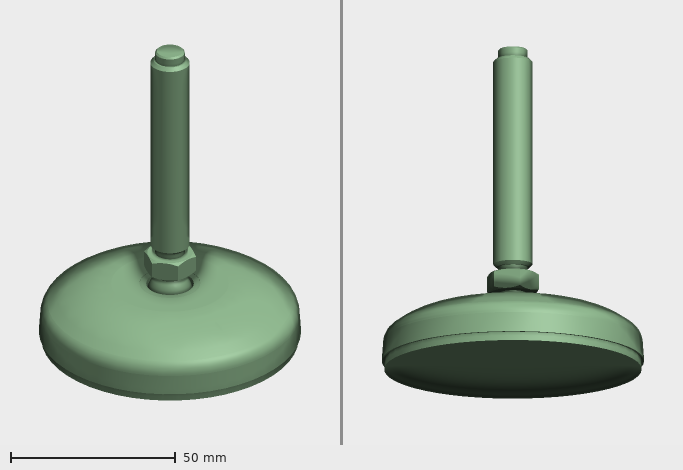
import cadquery as cq
import math

TOTAL_HEIGHT = 99.7

PAD_DIAMETER = 78.2
PAD_HEIGHT = 2.6
RIM_DIAMETER = 79.7
SKIRT_TOP_DIAMETER = 78.8
SKIRT_TOP_Z = 8.7
DOME_EDGE_DIAMETER = 74.4
DOME_EDGE_Z = 12.6
FLAT_DIAMETER = 35.7
FOOT_HEIGHT = 19.0

RECESS_DIAMETER = 18.4
RECESS_DEPTH = 0.1
SOCKET_TOP_DIAMETER = 14.5
SOCKET_BOTTOM_DIAMETER = 13.4
SOCKET_DEPTH = 1.2

BALL_DIAMETER = 13.9
NECK_DIAMETER = 8.1
NECK_START_Z = 21.8

NUT_ACROSS_FLATS = 14.1
NUT_BOTTOM_Z = 23.7
NUT_HEIGHT = 6.1
NUT_CHAMFER_DIAMETER = 13.8
NUT_CHAMFER_ANGLE = 30.0

ROD_DIAMETER = 12.0
ROD_CHAMFER = 1.0
ROD_BOTTOM_Z = 31.7
UNDERCUT_DIAMETER = 9.0
TIP_DIAMETER = 9.0
TIP_LENGTH = 3.0
TIP_CHAMFER = 0.5


def cylinder(diameter, bottom_z, top_z):
    """Cylinder on the Z axis between two heights."""
    return cq.Workplane("XY").workplane(offset=bottom_z).circle(diameter / 2).extrude(top_z - bottom_z)


def make_foot():
    """Pad, tapered skirt, rounded shoulder and dome, revolved about Z."""
    flat_radius = FLAT_DIAMETER / 2
    edge_radius = DOME_EDGE_DIAMETER / 2
    skirt_top_radius = SKIRT_TOP_DIAMETER / 2

    dome_run = edge_radius - flat_radius
    dome_drop = FOOT_HEIGHT - DOME_EDGE_Z
    dome_radius = (dome_run**2 + dome_drop**2) / (2 * dome_drop)
    half_sweep = math.asin(dome_run / dome_radius) / 2
    dome_middle = (
        flat_radius + dome_radius * math.sin(half_sweep),
        FOOT_HEIGHT - dome_radius * (1 - math.cos(half_sweep)),
    )

    profile = (
        cq.Workplane("XZ")
        .lineTo(PAD_DIAMETER / 2, 0)
        .lineTo(PAD_DIAMETER / 2, PAD_HEIGHT)
        .lineTo(RIM_DIAMETER / 2, PAD_HEIGHT)
        .lineTo(skirt_top_radius, SKIRT_TOP_Z)
        .tangentArcPoint((edge_radius, DOME_EDGE_Z), relative=False)
        .threePointArc(dome_middle, (flat_radius, FOOT_HEIGHT))
        .lineTo(0, FOOT_HEIGHT)
        .close()
    )
    foot = profile.revolve(360, (0, 0, 0), (0, 1, 0))
    recess_z = FOOT_HEIGHT - RECESS_DEPTH
    recess = cylinder(RECESS_DIAMETER, recess_z, FOOT_HEIGHT)
    socket = (
        cq.Workplane("XY")
        .workplane(offset=recess_z)
        .circle(SOCKET_TOP_DIAMETER / 2)
        .workplane(offset=-SOCKET_DEPTH)
        .circle(SOCKET_BOTTOM_DIAMETER / 2)
        .loft()
    )
    return foot.cut(recess).cut(socket)


def make_ball():
    """Ball whose surface meets the neck edge at NECK_START_Z."""
    ball_radius = BALL_DIAMETER / 2
    neck_radius = NECK_DIAMETER / 2
    center_z = NECK_START_Z - math.sqrt(ball_radius**2 - neck_radius**2)
    return cq.Workplane("XY").sphere(ball_radius).translate((0, 0, center_z))


def make_nut():
    """Hexagon with corners on X, its corners turned off by a cone at each end."""
    across_corners = NUT_ACROSS_FLATS / math.cos(math.pi / 6)
    corner_radius = across_corners / 2
    chamfer_radius = NUT_CHAMFER_DIAMETER / 2
    cone_height = (corner_radius - chamfer_radius) * math.tan(math.radians(NUT_CHAMFER_ANGLE))
    hexagon = cq.Workplane("XY").polygon(6, across_corners).extrude(NUT_HEIGHT)
    turned = (
        cq.Workplane("XZ")
        .lineTo(chamfer_radius, 0)
        .lineTo(corner_radius, cone_height)
        .lineTo(corner_radius, NUT_HEIGHT - cone_height)
        .lineTo(chamfer_radius, NUT_HEIGHT)
        .lineTo(0, NUT_HEIGHT)
        .close()
        .revolve(360, (0, 0, 0), (0, 1, 0))
    )
    return hexagon.intersect(turned).translate((0, 0, NUT_BOTTOM_Z))


def make_rod():
    """Chamfered rod with a smaller chamfered tip."""
    shoulder_z = TOTAL_HEIGHT - TIP_LENGTH
    body = cylinder(ROD_DIAMETER, ROD_BOTTOM_Z, shoulder_z).faces("<Z or >Z").chamfer(ROD_CHAMFER)
    tip = cylinder(TIP_DIAMETER, shoulder_z, TOTAL_HEIGHT).faces(">Z").chamfer(TIP_CHAMFER)
    return body.union(tip)


nut_top_z = NUT_BOTTOM_Z + NUT_HEIGHT
neck = cylinder(NECK_DIAMETER, NECK_START_Z, NUT_BOTTOM_Z)
undercut = cylinder(UNDERCUT_DIAMETER, nut_top_z, ROD_BOTTOM_Z)

result = make_foot()
for piece in (make_ball(), neck, make_nut(), undercut, make_rod()):
    result = result.union(piece)